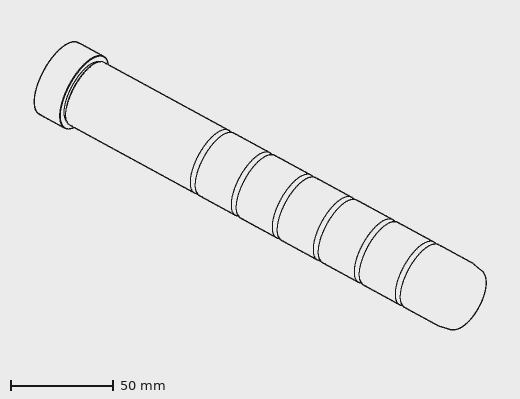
import cadquery as cq
import math

length = 250.0
head_radius = 20.0
head_length = 16.0
edge_chamfer = 0.2
shank_radius = 17.5

relief_radius = 16.8
relief_end = 17.5

groove_count = 6
first_groove = 95.0
groove_pitch = 25.0
groove_width = 3.0
groove_depth = 0.8

taper_start = 242.0
taper_end = 247.2
taper_end_radius = 16.5
tip_rounding = 2.8

countersink_radius = 2.5
centre_hole_radius = 1.2
centre_hole_depth = 5.0


def make_body():
    """Revolve the half profile of the head, relief, shank and tip."""
    rounding_diagonal = tip_rounding * math.sqrt(0.5)
    rounding_centre_radius = taper_end_radius - tip_rounding
    return (
        cq.Workplane("XY")
        .moveTo(0, 0)
        .lineTo(0, head_radius - edge_chamfer)
        .lineTo(edge_chamfer, head_radius)
        .lineTo(head_length - edge_chamfer, head_radius)
        .lineTo(head_length, head_radius - edge_chamfer)
        .lineTo(head_length, relief_radius)
        .lineTo(relief_end, relief_radius)
        .lineTo(relief_end, shank_radius)
        .lineTo(taper_start, shank_radius)
        .lineTo(taper_end, taper_end_radius)
        .threePointArc(
            (taper_end + rounding_diagonal, rounding_centre_radius + rounding_diagonal),
            (length, rounding_centre_radius),
        )
        .lineTo(length, 0)
        .close()
        .revolve(360, (0, 0, 0), (1, 0, 0))
    )


def make_groove(centre):
    """Ring with a round-bottomed section, centred at the given X."""
    half_width = groove_width / 2
    return (
        cq.Workplane("XY")
        .moveTo(centre - half_width, shank_radius)
        .threePointArc(
            (centre, shank_radius - groove_depth),
            (centre + half_width, shank_radius),
        )
        .close()
        .revolve(360, (0, 0, 0), (1, 0, 0))
    )


def make_centre_hole():
    """Drilled centre with a 90 degree countersink at the head face."""
    countersink_depth = countersink_radius - centre_hole_radius
    return (
        cq.Workplane("XY")
        .moveTo(0, 0)
        .lineTo(0, countersink_radius)
        .lineTo(countersink_depth, centre_hole_radius)
        .lineTo(centre_hole_depth, centre_hole_radius)
        .lineTo(centre_hole_depth, 0)
        .close()
        .revolve(360, (0, 0, 0), (1, 0, 0))
    )


result = make_body().cut(make_centre_hole())
for index in range(groove_count):
    result = result.cut(make_groove(first_groove + index * groove_pitch))